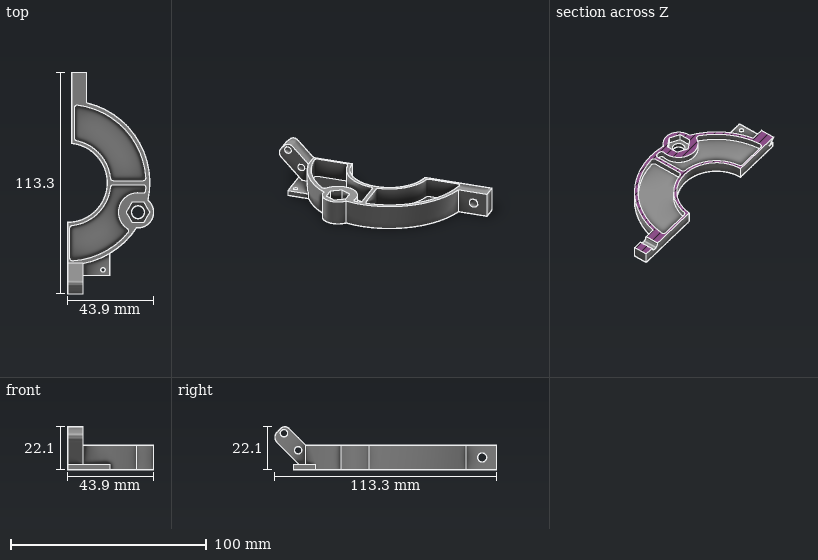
import cadquery as cq
import math

height = 12.6
inner_radius = 20.2
outer_radius = 42.0
upper_left = 2.0
lower_left = 0

floor_thickness = 2.7
inner_wall = 1.8
outer_wall = 2.0
rib_thickness = 2.0
upper_end_wall = 1.4
lower_end_wall = 1.0
pocket_corner_radius = 1.5

boss_x = 35.9
boss_y = -15.1
boss_radius = 8.0
boss_wall_radius = 10.0
bolt_diameter = 6.5
nut_corner_diameter = 12.0
nut_seat_z = floor_thickness

bar_width = 7.6
bar_end_y = 56.4
bar_hole_y = 49.1
bar_hole_z = height / 2
bar_hole_diameter = 4.5

tab_width = 21.5
tab_inner_y = -32.5
tab_end_y = -47.5
tab_hole_x = 18.0
tab_hole_y = -44.5
tab_hole_diameter = 2.2

arm_thickness = 7.9
arm_root_y = -41.1
arm_length = 15.1
arm_width = 9.4
arm_angle = 45
arm_top_radius = 2.8
arm_tip_radius = 3.7
arm_hole_diameter = 3.6
arm_holes = [(-45.0, 10.0), (-52.2, 18.7)]


def box(x0, x1, y0, y1, z0, z1):
    return cq.Workplane("XY").box(x1 - x0, y1 - y0, z1 - z0, centered=False).translate((x0, y0, z0))


def cylinder(x, y, radius, z0=0):
    return cq.Workplane("XY", origin=(x, y, z0)).circle(radius).extrude(height - z0)


def ring_sector(r_in, r_out, left, y0, y1, z0=0):
    """Part of a ring with X > left and y0 < Y < y1."""
    ring = cq.Workplane("XY").workplane(offset=z0).circle(r_out).circle(r_in).extrude(height - z0)
    return ring.intersect(box(left, r_out + 1.1, y0, y1, z0, height))


def cross_hole(y, z, diameter):
    """Cutter along X, passing through the end bar or the arm."""
    return cq.Workplane("YZ", origin=(0, y, z)).circle(diameter / 2).extrude(outer_radius)


def make_arm():
    """Plate in the YZ plane: an upright root and an inclined finger with a rounded end."""
    cos_a = math.cos(math.radians(arm_angle))
    sin_a = math.sin(math.radians(arm_angle))

    def along(distance, depth):
        y = arm_root_y - distance * cos_a - depth * sin_a
        z = height + distance * sin_a - depth * cos_a
        return (y, z)

    foot_distance = (floor_thickness - height + arm_width * cos_a) / sin_a
    foot_y, foot_z = along(foot_distance, arm_width)
    outline = [
        (tab_inner_y, 0),
        (tab_inner_y, height),
        (arm_root_y, height),
        along(arm_length, 0),
        along(arm_length, arm_width),
        (foot_y, foot_z),
        (foot_y, 0),
    ]
    arm = cq.Workplane("YZ").polyline(outline).close().extrude(arm_thickness)
    arm = arm.edges("|X").edges(">Z").fillet(arm_top_radius)
    arm = arm.edges("|X").edges("<Y").fillet(arm_tip_radius)
    return arm.translate((lower_left, 0, 0))


def make_pockets():
    """Upper and lower pockets on either side of the radial rib."""
    r_in = inner_radius + inner_wall
    r_out = outer_radius - outer_wall
    rib_half = rib_thickness / 2
    upper = ring_sector(r_in, r_out, upper_left + upper_end_wall, rib_half, r_out, floor_thickness)
    lower = ring_sector(r_in, r_out, lower_left + lower_end_wall, -r_out, -rib_half, floor_thickness)
    lower = lower.cut(cylinder(boss_x, boss_y, boss_wall_radius, floor_thickness))
    return [pocket.edges("|Z").fillet(pocket_corner_radius) for pocket in (upper, lower)]


result = ring_sector(inner_radius, outer_radius, upper_left, 0, outer_radius)
result = result.union(ring_sector(inner_radius, outer_radius, lower_left, -outer_radius, 0))
bar_start_y = (inner_radius + outer_radius) / 2
result = result.union(box(upper_left, upper_left + bar_width, bar_start_y, bar_end_y, 0, height))
result = result.union(cylinder(boss_x, boss_y, boss_radius))
tab_right = lower_left + tab_width
result = result.union(box(lower_left, tab_right, tab_end_y, tab_inner_y, 0, floor_thickness))
result = result.union(make_arm())

for pocket in make_pockets():
    result = result.cut(pocket)

result = result.cut(cylinder(boss_x, boss_y, bolt_diameter / 2))
nut_plane = cq.Workplane("XY", origin=(boss_x, boss_y, nut_seat_z))
result = result.cut(nut_plane.polygon(6, nut_corner_diameter).extrude(height - nut_seat_z))

result = result.cut(cross_hole(bar_hole_y, bar_hole_z, bar_hole_diameter))
for hole_y, hole_z in arm_holes:
    result = result.cut(cross_hole(hole_y, hole_z, arm_hole_diameter))
result = result.cut(cylinder(tab_hole_x, tab_hole_y, tab_hole_diameter / 2))